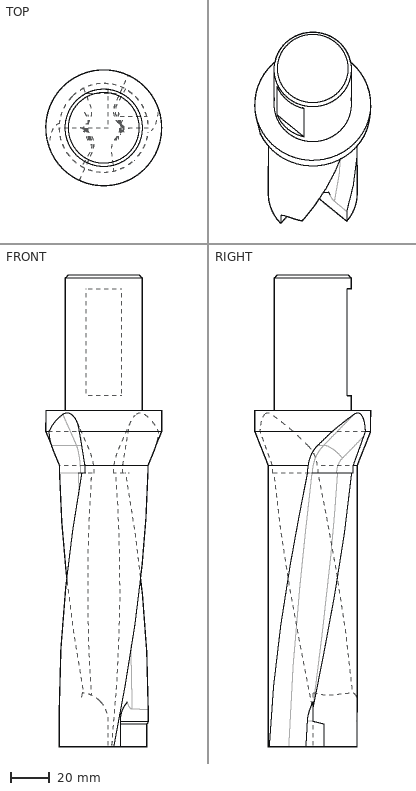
import cadquery as cq
import math

TOTAL_HEIGHT = 243.7
COLLAR_TOP = 173.7
COLLAR_BOTTOM = 162.8
CONE_BOTTOM = 145.2

SHANK_DIAMETER = 40.0
COLLAR_DIAMETER = 60.0
BODY_DIAMETER = 46.0
SHANK_CHAMFER = 1.7

FLAT_DEPTH = 2.2
FLAT_BOTTOM = 181.3
FLAT_TOP = 236.4

FLUTE_TOP = 141.3
FLUTE_TWIST = 70.2
FLUTE_FLOOR = 2.7
FLUTE_WALL = 0.5
FLUTE_ROOT_RADIUS = 9.0
WALL_DRAFT = 9.5
FLOOR_DRAFT = 6.5

RUNOUT_WALL_DRAFT = 4.5
RUNOUT_RADIUS = 19.5
RUNOUT_SLOPE = 47.0

POCKET_ARC_RADIUS = 14.5
POCKET_ARC_START = 13.5
OUTER_POCKET_OFFSET = 8.5
CENTRE_POCKET_OFFSET = -2.2
SEAT_DEPTH = 5.8
SEAT_HEIGHT = 11.7
SEAT_SLOPE_TOP = 13.2

CLEARANCE = 48.7

shank_radius = SHANK_DIAMETER / 2
collar_radius = COLLAR_DIAMETER / 2
body_radius = BODY_DIAMETER / 2


def half_turn(shape):
    return shape.rotate((0, 0, 0), (0, 0, 1), 180)


def turned_blank():
    return (
        cq.Workplane("XZ")
        .moveTo(0, 0)
        .lineTo(body_radius, 0)
        .lineTo(body_radius, CONE_BOTTOM)
        .lineTo(collar_radius, COLLAR_BOTTOM)
        .lineTo(collar_radius, COLLAR_TOP)
        .lineTo(shank_radius, COLLAR_TOP)
        .lineTo(shank_radius, TOTAL_HEIGHT - SHANK_CHAMFER)
        .lineTo(shank_radius - SHANK_CHAMFER, TOTAL_HEIGHT)
        .lineTo(0, TOTAL_HEIGHT)
        .close()
        .revolve(360, (0, 0), (0, 1))
    )


def shank_flat():
    return (
        cq.Workplane("XY", origin=(0, shank_radius - FLAT_DEPTH, FLAT_BOTTOM))
        .rect(2 * CLEARANCE, 2 * FLAT_DEPTH)
        .extrude(FLAT_TOP - FLAT_BOTTOM)
        .translate((0, FLAT_DEPTH, 0))
    )


def helical_flute():
    """Flute whose tip section opens towards +X and -Y."""
    wall_spread = CLEARANCE * math.tan(math.radians(WALL_DRAFT))
    floor_spread = CLEARANCE * math.tan(math.radians(FLOOR_DRAFT))
    root = (FLUTE_FLOOR, -FLUTE_WALL)
    wall_end = (FLUTE_FLOOR + CLEARANCE, -FLUTE_WALL - wall_spread)
    floor_end = (FLUTE_FLOOR + floor_spread, -FLUTE_WALL - CLEARANCE)
    section = cq.Sketch().polygon([root, wall_end, floor_end, root])
    section = section.vertices("<X").fillet(FLUTE_ROOT_RADIUS)
    return cq.Workplane("XY").placeSketch(section).twistExtrude(FLUTE_TOP, FLUTE_TWIST)


def flute_runout():
    """Continuation of the flute above FLUTE_TOP, rising out through the cone and collar."""
    slope = math.radians(RUNOUT_SLOPE)
    arc_mid = (
        RUNOUT_RADIUS * (1 - math.cos(slope / 2)),
        RUNOUT_RADIUS * math.sin(slope / 2),
    )
    arc_end = (
        RUNOUT_RADIUS * (1 - math.cos(slope)),
        RUNOUT_RADIUS * math.sin(slope),
    )
    exit_height = arc_end[1] + (CLEARANCE - arc_end[0]) / math.tan(slope)
    root = cq.Vector(FLUTE_FLOOR, -FLUTE_WALL, FLUTE_TOP)
    wall_draft = math.radians(RUNOUT_WALL_DRAFT)
    floor_draft = math.radians(FLOOR_DRAFT)
    wall_direction = cq.Vector(math.cos(wall_draft), -math.sin(wall_draft), 0)
    floor_direction = cq.Vector(math.sin(floor_draft), -math.cos(floor_draft), 0)
    wall_plane = cq.Plane(root, wall_direction, wall_direction.cross(cq.Vector(0, 0, 1)))
    outline = (
        cq.Workplane(wall_plane)
        .threePointArc(arc_mid, arc_end)
        .lineTo(CLEARANCE, exit_height)
        .lineTo(CLEARANCE, 0)
        .close()
        .val()
    )
    cutter = cq.Workplane(cq.Solid.extrudeLinear(outline, [], floor_direction * CLEARANCE))
    root_midpoints = (
        wall_plane.toWorldCoords(arc_mid),
        wall_plane.toWorldCoords(((arc_end[0] + CLEARANCE) / 2, (arc_end[1] + exit_height) / 2)),
    )
    root_edges = [
        cutter.edges(cq.selectors.NearestToPointSelector(point.toTuple())).val()
        for point in root_midpoints
    ]
    cutter = cutter.newObject(root_edges).fillet(FLUTE_ROOT_RADIUS)
    return cutter.rotate((0, 0, 0), (0, 0, 1), FLUTE_TWIST)


def insert_pocket(offset):
    """Pocket at the tip with X > offset and Y < 0; its inner side curves out into a flat top."""
    diagonal = POCKET_ARC_RADIUS * math.sqrt(0.5)
    arc_centre_x = offset + POCKET_ARC_RADIUS
    pocket_top = POCKET_ARC_START + POCKET_ARC_RADIUS
    return (
        cq.Workplane("XZ")
        .moveTo(offset, 0)
        .lineTo(offset, POCKET_ARC_START)
        .threePointArc(
            (arc_centre_x - diagonal, POCKET_ARC_START + diagonal),
            (arc_centre_x, pocket_top),
        )
        .lineTo(CLEARANCE, pocket_top)
        .lineTo(CLEARANCE, 0)
        .close()
        .extrude(CLEARANCE)
    )


def outer_insert_seat():
    """Recess behind the outer pocket wall, with a sloping upper ledge."""
    return (
        cq.Workplane("YZ", origin=(OUTER_POCKET_OFFSET, 0, 0))
        .moveTo(0, 0)
        .lineTo(SEAT_DEPTH, 0)
        .lineTo(SEAT_DEPTH, SEAT_HEIGHT)
        .lineTo(0, SEAT_SLOPE_TOP)
        .close()
        .extrude(CLEARANCE)
    )


result = turned_blank().cut(shank_flat())

for flute_part in (helical_flute(), flute_runout()):
    result = result.cut(flute_part).cut(half_turn(flute_part))

result = result.cut(insert_pocket(OUTER_POCKET_OFFSET)).cut(outer_insert_seat())
result = result.cut(half_turn(insert_pocket(CENTRE_POCKET_OFFSET)))